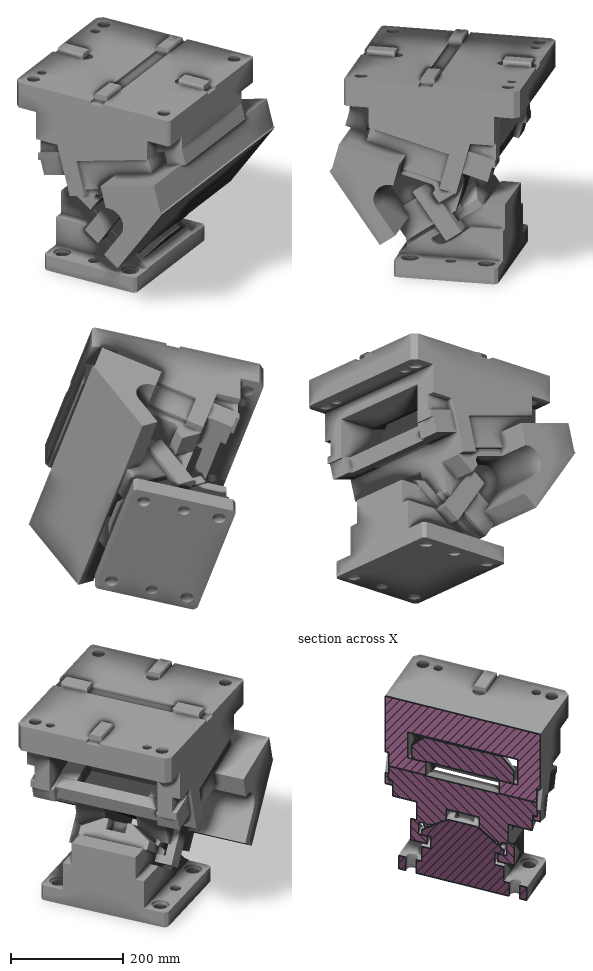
import cadquery as cq
import math

SLIDE_ANGLE = 15.0
DRIVER_ANGLE = 35.0

SLIDE_ORIGIN = (-65.0, 211.5)
RAIL_ORIGIN = (-85.0, 126.0)


def slide_point(along, above):
    """X, Z of a point given along and above the slide's top surface."""
    angle = math.radians(SLIDE_ANGLE)
    return (SLIDE_ORIGIN[0] + along * math.cos(angle) - above * math.sin(angle),
            SLIDE_ORIGIN[1] + along * math.sin(angle) + above * math.cos(angle))


def rail_point(along, above):
    """X, Z of a point given along and above the underside of the driver rail."""
    angle = math.radians(DRIVER_ANGLE)
    return (RAIL_ORIGIN[0] + along * math.cos(angle) + above * math.sin(angle),
            RAIL_ORIGIN[1] - along * math.sin(angle) + above * math.cos(angle))


def crossing(a, b, c, d):
    """Point where the line through a and b meets the line through c and d."""
    abx, abz = b[0] - a[0], b[1] - a[1]
    cdx, cdz = d[0] - c[0], d[1] - c[1]
    step = ((c[0] - a[0]) * cdz - (c[1] - a[1]) * cdx) / (abx * cdz - abz * cdx)
    return (a[0] + step * abx, a[1] + step * abz)


def on_rail_level(above, a, b):
    """Point where the line through a and b reaches a level above the rail underside."""
    return crossing(a, b, rail_point(0, above), rail_point(4, above))


def on_slide_level(above, a, b):
    """Point where the line through a and b reaches a level above the slide top."""
    return crossing(a, b, slide_point(0, above), slide_point(4, above))


def prism(points, half_width):
    """XZ outline extruded equally to both sides of Y = 0."""
    return cq.Workplane("XZ").polyline(points).close().extrude(half_width, both=True)


def prism_pair(points, inner, outer):
    """XZ outline extruded between two distances from Y = 0, on both sides."""
    return prism(points, outer).cut(prism(points, inner))


def slide_box(start, end, low, high):
    """Outline of a rectangle lined up with the slide travel."""
    return [slide_point(start, low), slide_point(end, low),
            slide_point(end, high), slide_point(start, high)]


def rail_box(start, end, low, high):
    """Outline of a rectangle lined up with the driver rail."""
    return [rail_point(start, low), rail_point(end, low),
            rail_point(end, high), rail_point(start, high)]


def round_corner(body, corner, radius):
    """Round the Y-parallel edge of a symmetric prism at an XZ corner."""
    nearest = cq.NearestToPointSelector((corner[0], 0, corner[1]))
    return body.edges("|Y").edges(nearest).fillet(radius)


def along_rail(section, start, end):
    """Section (Y, height above the rail underside) extruded along the rail."""
    angle = math.radians(DRIVER_ANGLE)
    x, z = rail_point(start, 0)
    plane = cq.Plane(origin=(x, 0, z), xDir=(0, 1, 0),
                     normal=(math.cos(angle), 0, -math.sin(angle)))
    return cq.Workplane(plane).polyline(section).close().extrude(end - start)


def mirrored(half_section):
    """Section completed by mirroring its positive half to the negative side."""
    return half_section + [(-y, height) for y, height in reversed(half_section)]


def plate(left, right, half_width, bottom, top, left_chamfer, right_chamfer):
    """Flat plate with chamfered upright corners."""
    body = (cq.Workplane("XY").workplane(offset=bottom)
            .center((left + right) / 2, 0)
            .rect(right - left, 2 * half_width).extrude(top - bottom))
    body = body.edges("|Z and <X").chamfer(left_chamfer)
    return body.edges("|Z and >X").chamfer(right_chamfer)


SLAB_TOP = 29.0
SLOT_HALF = 70.5
HEAD_HALF = 99.0
HEAD_TOP = 81.0
HEAD_START, HEAD_END = 43.0, 160.0
FOOT_SETBACK = 1.0
FLANGE_HALF = 143.0
FLANGE_BOTTOM = -28.5
LOWER_HALF = 135.0
LEG_WIDTH = 31.0

RIDGE_HALF = 27.0
RIDGE_HEIGHT = 39.0
ROOF_ANGLE = 30.0
RAIL_HALF = 79.5
LEAD_IN_HALF = 67.0


def roof_height(y):
    """Height of the driver roof above the rail underside."""
    return RIDGE_HEIGHT - (y - RIDGE_HALF) * math.tan(math.radians(ROOF_ANGLE))


def roof_half(height):
    """Half width of the driver roof at a height above the rail underside."""
    return RIDGE_HALF + (RIDGE_HEIGHT - height) / math.tan(math.radians(ROOF_ANGLE))


PLATE_LEFT, PLATE_RIGHT = -170.0, 150.0
PLATE_HALF = 150.0
PLATE_BOTTOM, PLATE_TOP = 325.0, 375.0
PLATE_LEFT_CHAMFER, PLATE_RIGHT_CHAMFER = 9.5, 4.0
PLATE_HOLES = [(-145.0, 124.5, 23.0), (-145.0, 95.0, 17.0), (124.0, 124.5, 23.0)]

KEY_WIDTH, KEY_LENGTH = 25.0, 51.0
KEY_RISE = 9.0
KEY_BEVEL_HEIGHT, KEY_BEVEL_WIDTH = 3.5, 1.5
KEYWAY_WIDTH, KEYWAY_DEPTH = 25.5, 5.0
CROSS_KEY_Y = 109.5
LEFT_KEY_X, RIGHT_KEY_X = -135.0, 114.5
LEFT_KEYWAY_END, RIGHT_KEYWAY_END = -96.5, 76.0

BODY_LEFT, BODY_RIGHT = -125.0, 104.5
POCKET_HALF, POCKET_CEILING = 105.5, 300.0
POCKET_CLEARANCE = 1.0
SLAB_START, SLAB_END = -48.5, 181.0
SLAB_NOTCH_HALF, SLAB_NOTCH_DEPTH = 100.5, 10.0
SLAB_STEP = 1.0
SLOT_START, SLOT_END = -13.0, 168.0
RAIL_TOP = 42.5
NOTCH_HALF, NOTCH_CEILING = 135.0, 271.0
LEG_BOTTOM = -38.5
STOP_HALF = 105.0
STOP_START, STOP_END = 192.0, 231.0
GUSSET = 11.0
MARGIN = 4.0


def key(x, y, along_x):
    """Bevelled key standing in a keyway of the plate."""
    half = KEY_WIDTH / 2
    bevel_low = KEY_RISE - KEY_BEVEL_HEIGHT
    top_half = half - KEY_BEVEL_WIDTH
    section = mirrored([(half, -KEYWAY_DEPTH), (half, bevel_low), (top_half, KEY_RISE)])
    body = (cq.Workplane("XZ").polyline(section).close()
            .extrude(KEY_LENGTH / 2, both=True))
    if along_x:
        body = body.rotate((0, 0, 0), (0, 0, 1), 90)
    return body.translate((x, y, PLATE_TOP))


def edge_keyway(edge, end):
    """Keyway from a plate edge, running along X to a round end."""
    radius = KEYWAY_WIDTH / 2
    inward = math.copysign(1, end - edge)
    straight_end = end - inward * radius
    start = edge - inward * MARGIN
    floor = cq.Workplane("XY").workplane(offset=PLATE_TOP - KEYWAY_DEPTH)
    channel = (floor.center((start + straight_end) / 2, 0)
               .rect(abs(straight_end - start), KEYWAY_WIDTH).extrude(KEYWAY_DEPTH))
    return channel.union(floor.center(straight_end, 0).circle(radius).extrude(KEYWAY_DEPTH))


def holder_plate():
    body = plate(PLATE_LEFT, PLATE_RIGHT, PLATE_HALF, PLATE_BOTTOM, PLATE_TOP,
                 PLATE_LEFT_CHAMFER, PLATE_RIGHT_CHAMFER)
    cross_keyway = (cq.Workplane("XY").workplane(offset=PLATE_TOP - KEYWAY_DEPTH)
                    .rect(KEYWAY_WIDTH, 2 * PLATE_HALF).extrude(KEYWAY_DEPTH))
    body = body.cut(cross_keyway)
    body = body.cut(edge_keyway(PLATE_LEFT, LEFT_KEYWAY_END))
    body = body.cut(edge_keyway(PLATE_RIGHT, RIGHT_KEYWAY_END))
    for side in (-1, 1):
        body = body.union(key(0, side * CROSS_KEY_Y, along_x=False))
        for x, y, diameter in PLATE_HOLES:
            hole = (cq.Workplane("XY").workplane(offset=PLATE_BOTTOM).center(x, side * y)
                    .circle(diameter / 2).extrude(PLATE_TOP - PLATE_BOTTOM))
            body = body.cut(hole)
    for x in (LEFT_KEY_X, RIGHT_KEY_X):
        body = body.union(key(x, 0, along_x=True))
    return body


def holder_block():
    """Block under the plate whose underside follows the slide travel."""
    bottom_left = on_slide_level(SLAB_TOP, (BODY_LEFT, 0), (BODY_LEFT, 1))
    bottom_right = on_slide_level(SLAB_TOP, (BODY_RIGHT, 0), (BODY_RIGHT, 1))
    return prism([bottom_left, bottom_right, (BODY_RIGHT, PLATE_BOTTOM),
                  (BODY_LEFT, PLATE_BOTTOM)], PLATE_HALF)


def side_notches():
    """Room above the rail on each side, in front of the legs, and the step beside the rail."""
    leg_top = crossing(slide_point(0, 0), slide_point(0, 4),
                       (0, NOTCH_CEILING), (1, NOTCH_CEILING))
    left = BODY_LEFT - MARGIN
    rail_left = on_slide_level(RAIL_TOP, (left, 0), (left, 1))
    above_rail = [rail_left, slide_point(0, RAIL_TOP), leg_top, (left, NOTCH_CEILING)]
    below_left = (left, SLIDE_ORIGIN[1])
    beside_rail = [below_left, slide_point(0, 0), slide_point(0, RAIL_TOP), rail_left]
    outside = PLATE_HALF + MARGIN
    return prism_pair(above_rail, NOTCH_HALF, outside).union(
        prism_pair(beside_rail, FLANGE_HALF, outside))


def holder_pocket():
    """Pocket open to the front; its ceiling rises with the head of the slide."""
    ceiling = HEAD_TOP + POCKET_CLEARANCE
    left = BODY_LEFT - MARGIN
    floor_left = on_slide_level(SLAB_TOP, (left, 0), (left, 1))
    floor_right = on_slide_level(SLAB_TOP, (BODY_RIGHT, 0), (BODY_RIGHT, 1))
    top_right = on_slide_level(ceiling, (BODY_RIGHT, 0), (BODY_RIGHT, 1))
    bend = on_slide_level(ceiling, (0, POCKET_CEILING), (1, POCKET_CEILING))
    pocket = prism([floor_left, floor_right, top_right, bend, (left, POCKET_CEILING)],
                   POCKET_HALF)
    return pocket.edges("|Z and >X").chamfer(GUSSET)


def holder_slab():
    """Slab under the block, notched and stepped in front and slotted for the slide's foot."""
    body = prism(slide_box(SLAB_START, SLAB_END, 0, SLAB_TOP), FLANGE_HALF)
    notch_end = SLAB_START + SLAB_NOTCH_DEPTH
    body = body.cut(prism(slide_box(SLAB_START, notch_end, 0, SLAB_TOP), SLAB_NOTCH_HALF))
    body = body.cut(prism(slide_box(notch_end, SLOT_START, SLAB_TOP - SLAB_STEP, SLAB_TOP),
                          SLAB_NOTCH_HALF))
    return body.cut(prism(slide_box(SLOT_START, SLOT_END, 0, SLAB_TOP), SLOT_HALF))


def holder_legs():
    """Side legs with hooks that reach under the slide flange."""
    legs = prism_pair(slide_box(0, LEG_WIDTH, LEG_BOTTOM, SLAB_TOP), FLANGE_HALF, PLATE_HALF)
    hooks = prism_pair(slide_box(0, LEG_WIDTH, LEG_BOTTOM, FLANGE_BOTTOM),
                       LOWER_HALF, PLATE_HALF)
    return legs.union(hooks)


def holder_stop():
    """Stop block behind the slab, with corner gussets against the end of the block."""
    left_bottom = on_slide_level(SLAB_TOP, (BODY_RIGHT, 0), (BODY_RIGHT, 1))
    right_bend = crossing(slide_point(STOP_END, 0), slide_point(STOP_END, 4),
                          (PLATE_RIGHT, 0), (PLATE_RIGHT, 1))
    outline = [(BODY_RIGHT, PLATE_BOTTOM), left_bottom, slide_point(STOP_START, SLAB_TOP),
               slide_point(STOP_START, 0), slide_point(STOP_END, 0), right_bend,
               (PLATE_RIGHT, PLATE_BOTTOM)]
    body = prism(outline, STOP_HALF)
    for side in (-1, 1):
        gusset = (cq.Workplane("XY").workplane(offset=left_bottom[1])
                  .polyline([(BODY_RIGHT, side * STOP_HALF),
                             (BODY_RIGHT + GUSSET, side * STOP_HALF),
                             (BODY_RIGHT, side * (STOP_HALF + GUSSET))])
                  .close().extrude(PLATE_BOTTOM - left_bottom[1]))
        body = body.union(gusset)
    return body


def make_holder():
    body = holder_block().cut(side_notches())
    body = body.union(holder_plate()).union(holder_stop())
    return body.cut(holder_pocket()).union(holder_slab()).union(holder_legs())


SLIDE_END = 220.0
SLIDE_END_DEPTH = -53.5
ARM_START, ARM_HALF = 106.0, 200.0
TOOL_FACE = 152.5
TOOL_FACE_TOP = 217.0
UNDERSIDE = 56.5
GUIDE_HALF, GUIDE_END = 89.0, 147.0
GUIDE_BOTTOM = 21.0
GIB_START, GIB_OUTER, GIB_TOP, GIB_TIP = 33.0, 76.0, 25.5, 13.0
RELIEF_HALF = 31.5
RECESS_START, RECESS_END = 38.5, 118.0
RECESS_STEP = 77.0
RECESS_CEILING = -41.5
RECESS_INNER = 80.0
RECESS_SMALL_RADIUS, RECESS_BIG_RADIUS = 9.5, 29.0
HEAD_CHAMFER = 24.0
CLIP_START, CLIP_END = 48.5, 82.5
CLIP_BOTTOM, CLIP_TOP = -15.0, 92.0
CLIP_OUTER, CLIP_INNER, CLIP_HOOK = 100.5, 85.0, 67.5


def slide_outline():
    front_bottom = on_rail_level(UNDERSIDE, slide_point(0, 0), slide_point(0, 4))
    return [slide_point(0, 0), slide_point(SLIDE_END, 0),
            slide_point(SLIDE_END, SLIDE_END_DEPTH), rail_point(TOOL_FACE, TOOL_FACE_TOP),
            rail_point(TOOL_FACE, UNDERSIDE), front_bottom]


def slide_body():
    """Flange, narrower lower part and the wide arms, all cut from one outline."""
    outline = slide_outline()
    flange = prism(slide_box(0, SLIDE_END, FLANGE_BOTTOM, 0), FLANGE_HALF)
    in_pocket = slide_point(ARM_START, RECESS_CEILING - MARGIN)
    in_recess = rail_point((RECESS_START + RECESS_END) / 2, UNDERSIDE)
    arms = prism([slide_point(ARM_START, 0), *outline[1:-1], in_recess, in_pocket], ARM_HALF)
    return prism(outline, LOWER_HALF).union(flange).union(arms)


def slide_guide():
    """Guide block that straddles the roof of the driver rail."""
    front = (slide_point(0, 0), slide_point(0, 4))
    block = prism([on_rail_level(UNDERSIDE, *front), on_rail_level(GUIDE_BOTTOM, *front),
                   rail_point(GUIDE_END, GUIDE_BOTTOM), rail_point(GUIDE_END, UNDERSIDE)],
                  GUIDE_HALF)
    groove = mirrored([(roof_half(GUIDE_BOTTOM), GUIDE_BOTTOM),
                       (RELIEF_HALF, roof_height(RELIEF_HALF)), (RELIEF_HALF, UNDERSIDE)])
    return block.cut(along_rail(groove, -TOOL_FACE, TOOL_FACE))


def slide_gib(side):
    """Narrow strip along one roof edge, reaching out in front of the guide block."""
    section = [(GIB_OUTER, GUIDE_BOTTOM), (roof_half(GIB_TIP), GIB_TIP),
               (LEAD_IN_HALF, roof_height(LEAD_IN_HALF)), (LEAD_IN_HALF, GIB_TOP)]
    section = [(side * y, height) for y, height in section]
    return along_rail(section, GIB_START, GUIDE_END)


def side_recesses():
    """Open recess beside the guide block and the deeper rounded pocket above it."""
    low = prism_pair(rail_box(RECESS_START, RECESS_END, UNDERSIDE, RECESS_STEP),
                     GUIDE_HALF, ARM_HALF)
    wall = (rail_point(RECESS_END, 0), rail_point(RECESS_END, 4))
    ceiling = (slide_point(0, RECESS_CEILING), slide_point(4, RECESS_CEILING))
    small_corner = on_rail_level(RECESS_STEP, *ceiling)
    big_corner = crossing(*ceiling, *wall)
    pocket = prism([small_corner, rail_point(RECESS_END, RECESS_STEP), big_corner], ARM_HALF)
    pocket = round_corner(pocket, small_corner, RECESS_SMALL_RADIUS)
    pocket = round_corner(pocket, big_corner, RECESS_BIG_RADIUS)
    core = cq.Workplane("XY").box(4 * ARM_HALF, 2 * RECESS_INNER, 4 * ARM_HALF)
    return low.union(pocket.cut(core))


def slide_head():
    """Foot through the holder slot carrying a chamfered head in the holder pocket."""
    foot = prism(slide_box(HEAD_START + FOOT_SETBACK, HEAD_END, 0, SLAB_TOP), SLOT_HALF)
    head = prism(slide_box(HEAD_START, HEAD_END, SLAB_TOP, HEAD_TOP), HEAD_HALF)
    x, z = slide_point((HEAD_START + HEAD_END) / 2, HEAD_TOP)
    for side in (-1, 1):
        edge = cq.NearestToPointSelector((x, side * HEAD_HALF, z))
        head = head.edges(edge).chamfer(HEAD_CHAMFER)
    return foot.union(head)


def slide_clips():
    """Retaining clips on both sides, hooked under the driver rail."""
    plates = prism_pair(rail_box(CLIP_START, CLIP_END, CLIP_BOTTOM, CLIP_TOP),
                        GUIDE_HALF, CLIP_OUTER)
    hooks = prism_pair(rail_box(CLIP_START, CLIP_END, CLIP_BOTTOM, 0), CLIP_HOOK, CLIP_OUTER)
    lower = prism_pair(rail_box(CLIP_START, CLIP_END, CLIP_BOTTOM, GUIDE_BOTTOM),
                       CLIP_INNER, CLIP_OUTER)
    return plates.union(lower).union(hooks)


def make_slide():
    body = slide_body().cut(side_recesses())
    body = body.union(slide_guide())
    for side in (-1, 1):
        body = body.union(slide_gib(side))
    return body.union(slide_head()).union(slide_clips())


BASE_LEFT, BASE_RIGHT = -125.0, 65.0
BASE_HALF, BASE_TOP = 124.5, 30.0
BASE_LEFT_CHAMFER, BASE_RIGHT_CHAMFER = 6.0, 5.0
BOLT_X, BOLT_Y = 70.0, 100.0
BOLT_DIAMETER, BOLT_SEAT_DIAMETER, BOLT_SEAT_DEPTH = 23.0, 32.0, 4.0
DOWEL_OFFSET, DOWEL_DIAMETER = -5.0, 21.0

NECK_HALF, NECK_TOP = 62.5, 130.0
LEDGE = 85.0
CLIP_SLOT_FLOOR, CLIP_SLOT_END, CLIP_SLOT_RADIUS = -21.0, 113.0, 15.0
LEAD_IN_END = 52.0
RAIL_END = 159.0
GROOVE_HALF, GROOVE_DEPTH, GROOVE_LENGTH = 19.0, 19.0, 32.0


def driver_base():
    body = plate(BASE_LEFT, BASE_RIGHT, BASE_HALF, 0, BASE_TOP,
                 BASE_LEFT_CHAMFER, BASE_RIGHT_CHAMFER)
    centre = (BASE_LEFT + BASE_RIGHT) / 2
    top = cq.Workplane("XY").workplane(offset=BASE_TOP)
    for side in (-1, 1):
        dowel = top.center(centre + DOWEL_OFFSET, side * BOLT_Y).circle(DOWEL_DIAMETER / 2)
        body = body.cut(dowel.extrude(-BASE_TOP))
        for end in (-1, 1):
            spot = top.center(centre + end * BOLT_X, side * BOLT_Y)
            body = body.cut(spot.circle(BOLT_DIAMETER / 2).extrude(-BASE_TOP))
            body = body.cut(spot.circle(BOLT_SEAT_DIAMETER / 2).extrude(-BOLT_SEAT_DEPTH))
    return body


def driver_pedestal():
    """Wide pedestal, narrowed on both sides above the ledge and along the clip slot."""
    eave = roof_height(RAIL_HALF)
    rail_line = (rail_point(0, 0), rail_point(4, 0))
    neck_corner = crossing(*rail_line, (0, NECK_TOP), (1, NECK_TOP))
    right_top = on_rail_level(eave, (BASE_RIGHT, 0), (BASE_RIGHT, 1))
    body = prism([(BASE_LEFT, BASE_TOP), (BASE_LEFT, NECK_TOP), neck_corner,
                  rail_point(LEAD_IN_END, 0), rail_point(LEAD_IN_END, eave), right_top,
                  (BASE_RIGHT, BASE_TOP)], RAIL_HALF)
    left = BASE_LEFT - MARGIN
    slot_corner = rail_point(CLIP_SLOT_END, CLIP_SLOT_FLOOR)
    ledge_end = on_rail_level(CLIP_SLOT_FLOOR, (0, LEDGE), (1, LEDGE))
    relief = prism([(left, LEDGE), (left, NECK_TOP + MARGIN), neck_corner,
                    rail_point(CLIP_SLOT_END, 0), slot_corner, ledge_end], RAIL_HALF + MARGIN)
    relief = round_corner(relief, slot_corner, CLIP_SLOT_RADIUS)
    core = cq.Workplane("XY").box(4 * RAIL_HALF, 2 * NECK_HALF, 4 * RAIL_HALF)
    return body.cut(relief.cut(core.translate((0, 0, LEDGE))))


def roofed_section(half_width):
    """Rail section with a flat ridge and sloping roof out to a half width."""
    return mirrored([(half_width, 0), (half_width, roof_height(half_width)),
                     (RIDGE_HALF, RIDGE_HEIGHT)])


def driver_rail():
    """Roofed rail with a narrower lead-in and a short groove in its ridge."""
    body = along_rail(roofed_section(LEAD_IN_HALF), 0, LEAD_IN_END)
    body = body.union(along_rail(roofed_section(RAIL_HALF), LEAD_IN_END, RAIL_END))
    groove = mirrored([(GROOVE_HALF, RIDGE_HEIGHT - GROOVE_DEPTH), (GROOVE_HALF, RIDGE_HEIGHT)])
    return body.cut(along_rail(groove, 0, GROOVE_LENGTH))


def make_driver():
    return driver_base().union(driver_pedestal()).union(driver_rail())


holder = make_holder()
slide = make_slide()
driver = make_driver()

result = cq.Compound.makeCompound([holder.solids().val(), slide.solids().val(), driver.solids().val()])